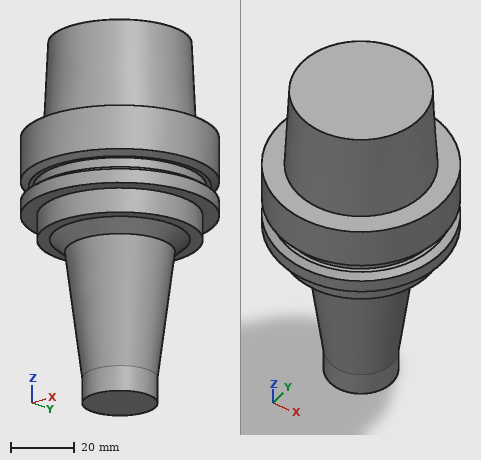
import cadquery as cq

total_height = 121.0
nose_height = 8.5
neck_top = 50.8
collar_bottom = 54.9
flange_bottom = 63.0
flange_top = 89.0

nose_diameter = 24.0
neck_diameter = 35.0
shoulder_diameter = 44.5
collar_diameter = 52.6
flange_diameter = 63.0
groove_diameter = 55.0
shank_base_diameter = 48.6
shank_top_diameter = 45.6

groove_bottom = 69.2
groove_top = 72.8
groove_chamfer_height = 1.6
groove_chamfer_depth = 2.5


def body_of_revolution():
    """Solid stepped body turned about the Z axis."""
    profile = [
        (0, 0),
        (nose_diameter / 2, 0),
        (nose_diameter / 2, nose_height),
        (neck_diameter / 2, neck_top),
        (shoulder_diameter / 2, collar_bottom),
        (collar_diameter / 2, collar_bottom),
        (collar_diameter / 2, flange_bottom),
        (flange_diameter / 2, flange_bottom),
        (flange_diameter / 2, flange_top),
        (shank_base_diameter / 2, flange_top),
        (shank_top_diameter / 2, total_height),
        (0, total_height),
    ]
    return cq.Workplane("XZ").polyline(profile).close().revolve(360, (0, 0), (0, 1))


def gripper_groove():
    """Ring to cut from the flange, with chamfered mouth edges."""
    rim = flange_diameter / 2
    floor = groove_diameter / 2
    wall = rim - groove_chamfer_depth
    profile = [
        (floor, groove_bottom),
        (wall, groove_bottom),
        (rim, groove_bottom - groove_chamfer_height),
        (rim, groove_top + groove_chamfer_height),
        (wall, groove_top),
        (floor, groove_top),
    ]
    return cq.Workplane("XZ").polyline(profile).close().revolve(360, (0, 0), (0, 1))


result = body_of_revolution().cut(gripper_groove())